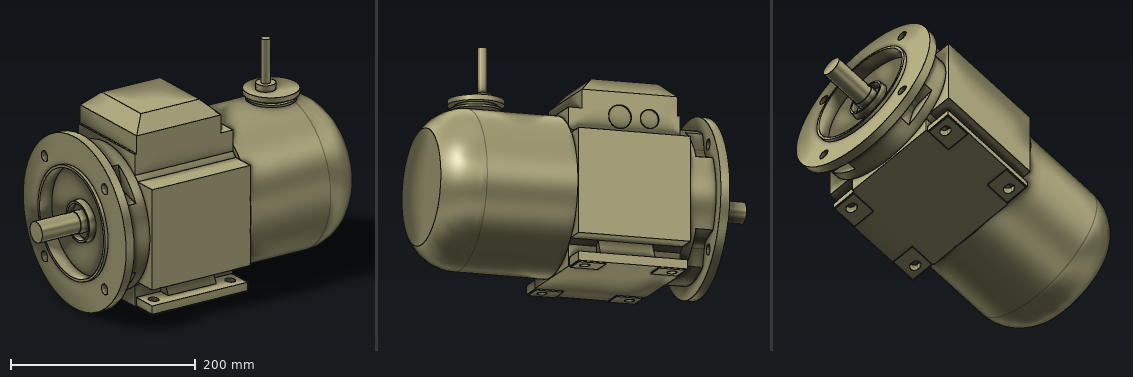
import cadquery as cq
import math


FLANGE_RADIUS = 100.0
FLANGE_THICKNESS = 10.5
SPIGOT_RADIUS = 65.0
SPIGOT_HEIGHT = 4.0
RECESS_RADIUS = 62.0
RECESS_FLOOR_Y = 12.0
BOLT_CIRCLE_RADIUS = 82.5
BOLT_HOLE_RADIUS = 6.0

SHAFT_RADIUS = 12.0
SHAFT_END_Y = -50.0
SHOULDER_RADIUS = 12.75
SHOULDER_END_Y = 0.0
SLEEVE_BASE_RADIUS = 24.0
SLEEVE_TIP_RADIUS = 22.9
SLEEVE_INNER_RADIUS = 20.7
SLEEVE_END_Y = 4.0

NECK_RADIUS = 84.3
POCKET_END_Y = 30.0
POCKET_RADIUS = 13.5
POCKET_HALF_ANGLE = 30.0
POCKET_REACH = 25.0

HOUSING_FRONT_Y = 41.5
HOUSING_BACK_Y = 169.5
HOUSING_HALF_SIZE = 88.6
CORE_HALF_WIDTH = 55.0
SIDE_HALF_HEIGHT = 58.4
HOUSING_BEVEL = 5.6

COVER_GAP = 1.0
COVER_RADIUS = 88.8
COVER_BACK_Y = 319.0
DOME_LENGTH = 44.7
DOME_RADIUS = 53.0
GAP_CORE_RADIUS = 80.0

BOX_CENTER_Y = 99.0
BOX_SIZE = 2 * CORE_HALF_WIDTH
BOX_TOP_Z = 126.3
BOX_BEVEL = 16.7
ENTRY_Z = 82.5
ENTRY_DEPTH = 2.0
CABLE_ENTRIES = ((110.3, 13.0), (76.3, 10.5))

BASE_Z = -90.0
PAD_HEIGHT = 1.4
FOOT_THICKNESS = 10.2
FOOT_OUTER_X = 85.5
FOOT_FRONT_Y = 43.5
FOOT_BACK_Y = 168.5
PAD_LENGTH = 31.0
PAD_INSET = 1.0
FOOT_HOLE_X = 70.0
FOOT_HOLES_Y = (56.0, 156.0)
FOOT_SLOT_WIDTH = 10.0
FOOT_SLOT_LENGTH = 13.0
GUSSET_FRONT_Y = 75.0
GUSSET_BACK_Y = 137.5
GUSSET_FOOT_X = 70.2

DISC_CENTER_Y = 256.4
DISC_RADIUS = 31.25
DISC_BOTTOM_Z = 94.9
DISC_TOP_Z = 100.9
DISC_NECK_RADIUS = 23.0
SEAT_RADIUS = 28.1
SEAT_TOP_Z = 90.9
SEAT_SINK = 0.4
LEVER_Y = 249.2
LEVER_RADIUS = 5.3
LEVER_TOP_Z = 160.0
COLLAR_RADIUS = 11.0
COLLAR_TOP_Z = 108.4


def turned(radius, start_y, end_y):
    """Cylinder about the shaft axis."""
    return cq.Workplane("XZ", origin=(0, start_y, 0)).circle(radius).extrude(start_y - end_y)


def upright(radius, center_y, bottom_z, top_z):
    """Vertical cylinder in the mid plane of the motor."""
    return cq.Workplane("XY", origin=(0, center_y, bottom_z)).circle(radius).extrude(top_z - bottom_z)


def block(x_range, y_range, z_range):
    """Box given by its limits along each axis."""
    lows, highs = zip(x_range, y_range, z_range)
    sizes = [high - low for low, high in zip(lows, highs)]
    return cq.Workplane("XY").box(*sizes, centered=False).translate(lows)


def bolt_pocket():
    """Round-bottomed pocket, open outward, behind the bolt hole on the +X side."""
    angle = math.radians(POCKET_HALF_ANGLE)
    near_x = BOLT_CIRCLE_RADIUS - POCKET_RADIUS * math.cos(angle)
    near_z = POCKET_RADIUS * math.sin(angle)
    far_x = near_x + POCKET_REACH * math.sin(angle)
    far_z = near_z + POCKET_REACH * math.cos(angle)
    outer_x = far_x + POCKET_REACH
    return (
        cq.Workplane("XZ", origin=(0, FLANGE_THICKNESS, 0))
        .moveTo(outer_x, -far_z)
        .lineTo(far_x, -far_z)
        .lineTo(near_x, -near_z)
        .threePointArc((BOLT_CIRCLE_RADIUS - POCKET_RADIUS, 0), (near_x, near_z))
        .lineTo(far_x, far_z)
        .lineTo(outer_x, far_z)
        .close()
        .extrude(FLANGE_THICKNESS - POCKET_END_Y)
    )


def sleeve():
    """Tapered stub around the shaft, rising from the floor of the recess."""
    return (
        cq.Workplane("XZ", origin=(0, RECESS_FLOOR_Y, 0))
        .circle(SLEEVE_BASE_RADIUS)
        .workplane(offset=RECESS_FLOOR_Y - SLEEVE_END_Y)
        .circle(SLEEVE_TIP_RADIUS)
        .loft()
    )


def drive_end():
    """Flange, pocketed neck, sleeve and shaft."""
    body = turned(NECK_RADIUS, FLANGE_THICKNESS, HOUSING_FRONT_Y)
    hole = turned(BOLT_HOLE_RADIUS, 0, FLANGE_THICKNESS).translate((BOLT_CIRCLE_RADIUS, 0, 0))
    corner_angles = (45, 135, 225, 315)
    for angle in corner_angles:
        body = body.cut(bolt_pocket().rotate((0, 0, 0), (0, 1, 0), angle))
    body = body.union(turned(FLANGE_RADIUS, 0, FLANGE_THICKNESS))
    for angle in corner_angles:
        body = body.cut(hole.rotate((0, 0, 0), (0, 1, 0), angle))
    body = body.union(turned(SPIGOT_RADIUS, -SPIGOT_HEIGHT, 0))
    body = body.cut(turned(RECESS_RADIUS, -SPIGOT_HEIGHT, RECESS_FLOOR_Y))
    body = body.union(sleeve())
    body = body.cut(turned(SLEEVE_INNER_RADIUS, SLEEVE_END_Y, RECESS_FLOOR_Y))
    body = body.union(turned(SHOULDER_RADIUS, SHOULDER_END_Y, RECESS_FLOOR_Y))
    return body.union(turned(SHAFT_RADIUS, SHAFT_END_Y, RECESS_FLOOR_Y))


def housing():
    """Cross-shaped stator housing with beveled inner corners."""
    corner = [
        (HOUSING_HALF_SIZE, SIDE_HALF_HEIGHT),
        (CORE_HALF_WIDTH + HOUSING_BEVEL, SIDE_HALF_HEIGHT),
        (CORE_HALF_WIDTH, SIDE_HALF_HEIGHT + HOUSING_BEVEL),
        (CORE_HALF_WIDTH, HOUSING_HALF_SIZE),
    ]
    upper = corner + [(-x, z) for x, z in reversed(corner)]
    lower = [(-x, -z) for x, z in upper]
    profile = cq.Workplane("XZ", origin=(0, HOUSING_FRONT_Y, 0)).polyline(upper + lower).close()
    return profile.extrude(HOUSING_FRONT_Y - HOUSING_BACK_Y)


def brake_cover():
    """Cylindrical cover whose domed end is tangent to the cylinder."""
    front_y = HOUSING_BACK_Y + COVER_GAP
    dome_start_y = COVER_BACK_Y - DOME_LENGTH
    dome_angle = math.asin(DOME_LENGTH / DOME_RADIUS)
    dome_center_radius = COVER_RADIUS - DOME_RADIUS

    def dome_point(angle):
        radius = dome_center_radius + DOME_RADIUS * math.cos(angle)
        return radius, dome_start_y + DOME_RADIUS * math.sin(angle)

    cover = (
        cq.Workplane("XY")
        .moveTo(0, front_y)
        .lineTo(COVER_RADIUS, front_y)
        .lineTo(COVER_RADIUS, dome_start_y)
        .threePointArc(dome_point(dome_angle / 2), dome_point(dome_angle))
        .lineTo(0, COVER_BACK_Y)
        .close()
        .revolve(360, (0, 0), (0, 1))
    )
    return cover.union(turned(GAP_CORE_RADIUS, HOUSING_BACK_Y, front_y))


def terminal_box():
    """Square box with a beveled lid on top of the housing."""
    half = BOX_SIZE / 2
    y_range = (BOX_CENTER_Y - half, BOX_CENTER_Y + half)
    box = block((-half, half), y_range, (SIDE_HALF_HEIGHT, BOX_TOP_Z))
    return box.faces(">Z").edges().chamfer(BOX_BEVEL)


def cable_entry(center_y, radius):
    """Shallow round recess in the -X side of the terminal box."""
    start = cq.Workplane("YZ", origin=(-CORE_HALF_WIDTH, center_y, ENTRY_Z))
    return start.circle(radius).extrude(ENTRY_DEPTH)


def foot():
    """Foot on the +X side, with its gusset, pads and mounting slots."""
    bottom_z = BASE_Z + PAD_HEIGHT
    top_z = bottom_z + FOOT_THICKNESS
    body = block((CORE_HALF_WIDTH, FOOT_OUTER_X), (FOOT_FRONT_Y, FOOT_BACK_Y), (bottom_z, top_z))
    pad_x = (CORE_HALF_WIDTH + PAD_INSET, FOOT_OUTER_X - PAD_INSET)
    front_pad_y = (FOOT_FRONT_Y + PAD_INSET, FOOT_FRONT_Y + PAD_INSET + PAD_LENGTH)
    back_pad_y = (FOOT_BACK_Y - PAD_INSET - PAD_LENGTH, FOOT_BACK_Y - PAD_INSET)
    for pad_y in (front_pad_y, back_pad_y):
        body = body.union(block(pad_x, pad_y, (BASE_Z, bottom_z)))
    gusset = (
        cq.Workplane("XZ", origin=(0, GUSSET_FRONT_Y, 0))
        .moveTo(CORE_HALF_WIDTH, -SIDE_HALF_HEIGHT)
        .lineTo(CORE_HALF_WIDTH + HOUSING_BEVEL, -SIDE_HALF_HEIGHT)
        .lineTo(GUSSET_FOOT_X, top_z)
        .lineTo(CORE_HALF_WIDTH, top_z)
        .close()
        .extrude(GUSSET_FRONT_Y - GUSSET_BACK_Y)
    )
    slots = (
        cq.Workplane("XY", origin=(0, 0, BASE_Z))
        .pushPoints([(FOOT_HOLE_X, y) for y in FOOT_HOLES_Y])
        .slot2D(FOOT_SLOT_LENGTH, FOOT_SLOT_WIDTH)
        .extrude(top_z - BASE_Z)
    )
    return body.union(gusset).cut(slots)


def hand_release():
    """Vertical brake lever with its collar, disc and round seat on the cover."""
    seat_bottom_z = COVER_RADIUS - SEAT_SINK
    seat = upright(SEAT_RADIUS, DISC_CENTER_Y, seat_bottom_z, SEAT_TOP_Z)
    neck = upright(DISC_NECK_RADIUS, DISC_CENTER_Y, SEAT_TOP_Z, DISC_BOTTOM_Z)
    disc = upright(DISC_RADIUS, DISC_CENTER_Y, DISC_BOTTOM_Z, DISC_TOP_Z)
    collar = upright(COLLAR_RADIUS, LEVER_Y, DISC_TOP_Z, COLLAR_TOP_Z)
    lever = upright(LEVER_RADIUS, LEVER_Y, COLLAR_TOP_Z, LEVER_TOP_Z)
    return seat.union(neck).union(disc).union(collar).union(lever)


result = drive_end().union(housing()).union(brake_cover()).union(terminal_box())
for entry_y, entry_radius in CABLE_ENTRIES:
    result = result.cut(cable_entry(entry_y, entry_radius))
result = result.union(foot()).union(foot().mirror("YZ"))
result = result.union(hand_release())